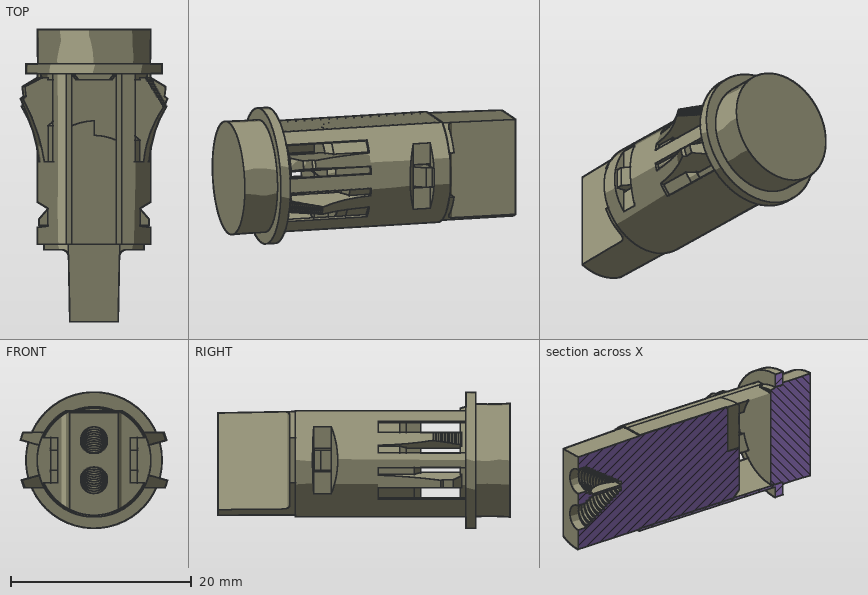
import cadquery as cq
import math


FLANGE_RADIUS = 7.555
FLANGE_THICKNESS = 1.1
TUBE_RADIUS = 6.3
TUBE_LENGTH = 18.9
TUBE_FLAT_Z = 5.5
BORE_RADIUS = 5.93
BORE_FLAT_Z = 5.4

SLOT_LENGTH = 9.73
SLOT_OUTER_EDGE = (4.57, 4.34)
SLOT_WALL_SLOPE = 0.5
SLOT_INNER_X = 3.5
RIB_HALF_WIDTH = 0.82

ARM_START = 0.46
ARM_FREE_END_RADIUS = 6.55
ARM_INNER_RADIUS = 5.0
ARM_TOP_Z = 3.07
ARM_LOWER_ANGLE = 15.3
ARM_FLANK_MID = (7.1, -6.1)
PLAIN_SHOULDER_RADIUS = 8.22
PLAIN_SHOULDER_START = 1.42
PLAIN_SHOULDER_END = 1.75
PLAIN_NOTCH_RADIUS = 8.12
PLAIN_NOTCH_DEPTH = 2.5
PLAIN_TIP_RADIUS = 8.44
PLAIN_TIP_DEPTH = 2.77
SERRATED_TIP_RADIUS = 8.34
SERRATED_TIP_DEPTH = 3.6
SERRATION_STEPS = 16

PAD_X = 4.8
PAD_START = 13.9
WINDOW_FLOOR_X = 5.1
WINDOW_START = 14.2
WINDOW_FLOOR_START = 14.93
WINDOW_FLOOR_END = 16.86
WINDOW_END = 17.0
LATCH_HOLE_HALF_WIDTH = 1.3

KNOB_RADIUS = 6.3
KNOB_ROOT_RADIUS = 6.25
KNOB_LENGTH = 3.8
SKIRT_END_RADIUS = 5.76
SKIRT_DEPTH = 0.65

COLLAR_RADIUS = 6.1
COLLAR_THICKNESS = 0.6
SOCKET_END = 27.48
SOCKET_END_TOP_Z = 5.24
STEM_ROOT_HALF_WIDTH = 2.83
STEM_END_HALF_WIDTH = 2.69
STEM_FILLET = 0.75
CORE_SHORT_START = 6.6
CORE_LONG_START = 5.0
CORE_CHAMFER = 0.75
RECESS_FLOOR_X = 4.0
RECESS_HALF_WIDTH = 2.5
HOOK_HALF_WIDTH = 1.1
HOOK_TIP_X = 6.1
HOOK_TIP_START = 16.1
HOOK_END = 16.8
PIN_HOLE_RADIUS = 1.47
PIN_HOLE_Z = 2.22
PIN_HOLE_LEAD = 1.2
PIN_HOLE_STEPS = 12
PIN_HOLE_STEP_RISE = 0.26
PIN_HOLE_STEP_DEPTH = 0.4
PIN_HOLE_WEB = 0.3

BIG = 40.0


def disc(radius, y_from, y_to):
    """Cylinder on the Y axis between two Y positions."""
    plane = cq.Workplane("XZ", origin=(0, y_to, 0))
    return plane.circle(radius).extrude(y_to - y_from)


def block(x_range, y_range, z_range):
    """Axis-aligned box from its three (low, high) ranges."""
    size = [high - low for low, high in (x_range, y_range, z_range)]
    corner = (x_range[0], y_range[0], z_range[0])
    return cq.Workplane("XY").box(*size, centered=False).translate(corner)


def below(height):
    """Half-space below a given Z."""
    return block((-BIG, BIG), (-BIG, BIG), (-BIG, height))


def half_turn(body):
    """Copy of a body turned half a turn about the Y axis."""
    return body.rotate((0, 0, 0), (0, 1, 0), 180)


def both_sides(body):
    """A body with its mirror image on the -X side."""
    return body.union(body.mirror("YZ"))


def arm_inside(profile, core_start):
    """Close an arm profile along its inner face, which clears the skirt and the core."""
    return (
        profile.lineTo(BORE_RADIUS, -SLOT_LENGTH)
        .lineTo(BORE_RADIUS, -core_start - CORE_CHAMFER)
        .lineTo(BORE_RADIUS - CORE_CHAMFER, -core_start)
        .lineTo(ARM_INNER_RADIUS, -core_start)
        .lineTo(ARM_INNER_RADIUS, -SKIRT_DEPTH)
        .lineTo(BORE_RADIUS, -SKIRT_DEPTH)
        .lineTo(BORE_RADIUS, -ARM_START)
        .close()
    )


def arm_body(profile):
    """Revolve an arm profile and trim it to the arm's width in the +X +Z quadrant."""
    lower_slope = math.tan(math.radians(ARM_LOWER_ANGLE))
    reach = FLANGE_RADIUS + TUBE_RADIUS
    width = (
        cq.Workplane("XZ")
        .polyline([(0, 0), (reach, reach * lower_slope), (reach, ARM_TOP_Z), (0, ARM_TOP_Z)])
        .close()
        .extrude(SLOT_LENGTH)
    )
    return profile.revolve(360, (0, 0, 0), (0, 1, 0)).intersect(width)


def plain_arm():
    """Snap arm with a smooth shoulder, a shallow notch and a small lip at its tip."""
    profile = (
        cq.Workplane("XY")
        .moveTo(BORE_RADIUS, -ARM_START)
        .lineTo(ARM_FREE_END_RADIUS, -ARM_START)
        .lineTo(PLAIN_SHOULDER_RADIUS, -PLAIN_SHOULDER_START)
        .lineTo(PLAIN_SHOULDER_RADIUS, -PLAIN_SHOULDER_END)
        .lineTo(PLAIN_NOTCH_RADIUS, -PLAIN_NOTCH_DEPTH)
        .lineTo(PLAIN_TIP_RADIUS, -PLAIN_TIP_DEPTH)
        .threePointArc(ARM_FLANK_MID, (TUBE_RADIUS, -SLOT_LENGTH))
    )
    return arm_body(arm_inside(profile, CORE_LONG_START))


def serrated_arm():
    """Snap arm whose ramp is a flight of fine steps."""
    step_rise = (SERRATED_TIP_RADIUS - ARM_FREE_END_RADIUS) / SERRATION_STEPS
    step_depth = (SERRATED_TIP_DEPTH - ARM_START) / SERRATION_STEPS
    profile = (
        cq.Workplane("XY")
        .moveTo(BORE_RADIUS, -ARM_START)
        .lineTo(ARM_FREE_END_RADIUS, -ARM_START)
    )
    for _ in range(SERRATION_STEPS):
        profile = profile.line(0, -step_depth).line(step_rise, 0)
    profile = profile.threePointArc(ARM_FLANK_MID, (TUBE_RADIUS, -SLOT_LENGTH))
    return arm_body(arm_inside(profile, CORE_SHORT_START))


def arm_slots():
    """Slots through both side walls, above and below the ribs."""
    edge_x, edge_z = SLOT_OUTER_EDGE
    outer_top = edge_z + SLOT_WALL_SLOPE * (TUBE_RADIUS - edge_x)
    inner_top = edge_z - SLOT_WALL_SLOPE * (edge_x - SLOT_INNER_X)
    upper = (
        cq.Workplane("XZ")
        .polyline([
            (SLOT_INNER_X, RIB_HALF_WIDTH),
            (TUBE_RADIUS, RIB_HALF_WIDTH),
            (TUBE_RADIUS, outer_top),
            (SLOT_INNER_X, inner_top),
        ])
        .close()
        .extrude(SLOT_LENGTH)
    )
    return both_sides(upper.union(upper.mirror("XY")))


def pad_region():
    """Space outside the flat pad faces, where housing wall replaces core."""
    return both_sides(block((PAD_X, BIG), (-TUBE_LENGTH, -PAD_START), (-BIG, BIG)))


def latch_windows():
    """Ramped flat-floored windows, each with a hole in the floor for the hook."""
    window = (
        cq.Workplane("XY")
        .polyline([
            (WINDOW_FLOOR_X, -WINDOW_FLOOR_START),
            (TUBE_RADIUS, -WINDOW_START),
            (TUBE_RADIUS, -WINDOW_END),
            (WINDOW_FLOOR_X, -WINDOW_FLOOR_END),
        ])
        .close()
        .extrude(TUBE_RADIUS, both=True)
    )
    hole = block(
        (RECESS_FLOOR_X, WINDOW_FLOOR_X),
        (-HOOK_END, -WINDOW_FLOOR_START),
        (-LATCH_HOLE_HALF_WIDTH, LATCH_HOLE_HALF_WIDTH),
    )
    return both_sides(window.union(hole))


def make_housing():
    """Flanged tube with four snap arms and two latch windows."""
    tube = disc(TUBE_RADIUS, -TUBE_LENGTH, 0).intersect(below(TUBE_FLAT_Z))
    bore = disc(BORE_RADIUS, -TUBE_LENGTH, 0).intersect(below(BORE_FLAT_Z)).cut(pad_region())
    tube = tube.cut(bore).cut(arm_slots()).cut(latch_windows())
    flange = disc(FLANGE_RADIUS, 0, FLANGE_THICKNESS)
    housing = tube.union(flange).cut(make_lens())
    serrated = serrated_arm()
    plain = plain_arm().mirror("XY")
    for arm in (serrated, half_turn(serrated), plain, half_turn(plain)):
        housing = housing.union(arm, clean=False)
    return housing


def make_lens():
    """Solid lens: a round knob and a skirt that passes through the flange."""
    knob_top = FLANGE_THICKNESS + KNOB_LENGTH
    return (
        cq.Workplane("XY")
        .polyline([
            (0, knob_top),
            (KNOB_RADIUS, knob_top),
            (KNOB_ROOT_RADIUS, FLANGE_THICKNESS),
            (BORE_RADIUS, FLANGE_THICKNESS),
            (BORE_RADIUS, 0),
            (SKIRT_END_RADIUS, -SKIRT_DEPTH),
            (0, -SKIRT_DEPTH),
        ])
        .close()
        .revolve(360, (0, 0, 0), (0, 1, 0))
    )


def core_rod(start):
    """Round core from the tube end to a chamfered end at the given depth."""
    rod = disc(BORE_RADIUS, -TUBE_LENGTH, -start)
    return rod.faces(">Y").chamfer(CORE_CHAMFER)


def core():
    """Core that fills the bore, with two diagonal quadrants reaching further in."""
    quadrant = block((-BIG, 0), (-BIG, 0), (0, BIG))
    long_quadrant = core_rod(CORE_LONG_START).intersect(quadrant)
    rod = core_rod(CORE_SHORT_START).union(long_quadrant).union(half_turn(long_quadrant))
    return rod.intersect(below(BORE_FLAT_Z)).cut(pad_region())


def collar_and_stem():
    """Collar over the tube end and the flat-sided tapering stem that carries the pin holes."""
    collar_end = TUBE_LENGTH + COLLAR_THICKNESS
    fillet_end = collar_end + STEM_FILLET
    fillet_edge_x = STEM_ROOT_HALF_WIDTH + STEM_FILLET
    fillet_mid = STEM_FILLET * (1 - math.sqrt(0.5))
    plan = (
        cq.Workplane("XY")
        .moveTo(0, -TUBE_LENGTH)
        .lineTo(COLLAR_RADIUS, -TUBE_LENGTH)
        .lineTo(COLLAR_RADIUS, -collar_end)
        .lineTo(fillet_edge_x, -collar_end)
        .threePointArc(
            (STEM_ROOT_HALF_WIDTH + fillet_mid, -collar_end - fillet_mid),
            (STEM_ROOT_HALF_WIDTH, -fillet_end),
        )
        .lineTo(STEM_END_HALF_WIDTH, -SOCKET_END)
        .lineTo(0, -SOCKET_END)
        .mirrorY()
        .extrude(COLLAR_RADIUS, both=True)
    )
    side = (
        cq.Workplane("YZ")
        .polyline([
            (-TUBE_LENGTH, -COLLAR_RADIUS),
            (-TUBE_LENGTH, BORE_FLAT_Z),
            (-SOCKET_END, SOCKET_END_TOP_Z),
            (-SOCKET_END, -COLLAR_RADIUS),
        ])
        .close()
        .extrude(COLLAR_RADIUS, both=True)
    )
    return plan.intersect(disc(COLLAR_RADIUS, -SOCKET_END, -TUBE_LENGTH)).intersect(side)


def latch_recesses():
    """Open-ended recesses in both sides of the insert around the hooks."""
    return both_sides(block(
        (RECESS_FLOOR_X, BIG), (-SOCKET_END, -PAD_START), (-RECESS_HALF_WIDTH, RECESS_HALF_WIDTH)
    ))


def hooks():
    """Ramped hooks that stand on the recess floors and snap into the latch windows."""
    hook = (
        cq.Workplane("XY")
        .polyline([
            (RECESS_FLOOR_X, -WINDOW_FLOOR_START),
            (WINDOW_FLOOR_X, -WINDOW_FLOOR_START),
            (HOOK_TIP_X, -HOOK_TIP_START),
            (HOOK_TIP_X, -HOOK_END),
            (RECESS_FLOOR_X, -HOOK_END),
        ])
        .close()
        .extrude(HOOK_HALF_WIDTH, both=True)
    )
    return both_sides(hook)


def pin_holes():
    """Two pin holes, straight at the entry and then stepping towards the axis."""
    lead_end = -SOCKET_END + PIN_HOLE_LEAD
    upper = disc(PIN_HOLE_RADIUS, -SOCKET_END, lead_end).translate((0, 0, PIN_HOLE_Z))
    for step in range(PIN_HOLE_STEPS):
        start = lead_end + step * PIN_HOLE_STEP_DEPTH
        height = PIN_HOLE_Z - (step + 1) * PIN_HOLE_STEP_RISE
        slice_ = disc(PIN_HOLE_RADIUS, start, start + PIN_HOLE_STEP_DEPTH)
        upper = upper.union(slice_.translate((0, 0, height)))
    upper = upper.cut(below(PIN_HOLE_WEB / 2))
    return upper.union(upper.mirror("XY"))


def make_insert():
    """Socket insert: core, collar, stem, pin holes and latch hooks in one solid."""
    body = core().union(collar_and_stem())
    return body.cut(latch_recesses()).union(hooks()).cut(pin_holes())


housing = make_housing().solids()
lens = make_lens().solids()
insert = make_insert().solids()

result = cq.Compound.makeCompound([housing.val(), lens.val(), insert.val()])